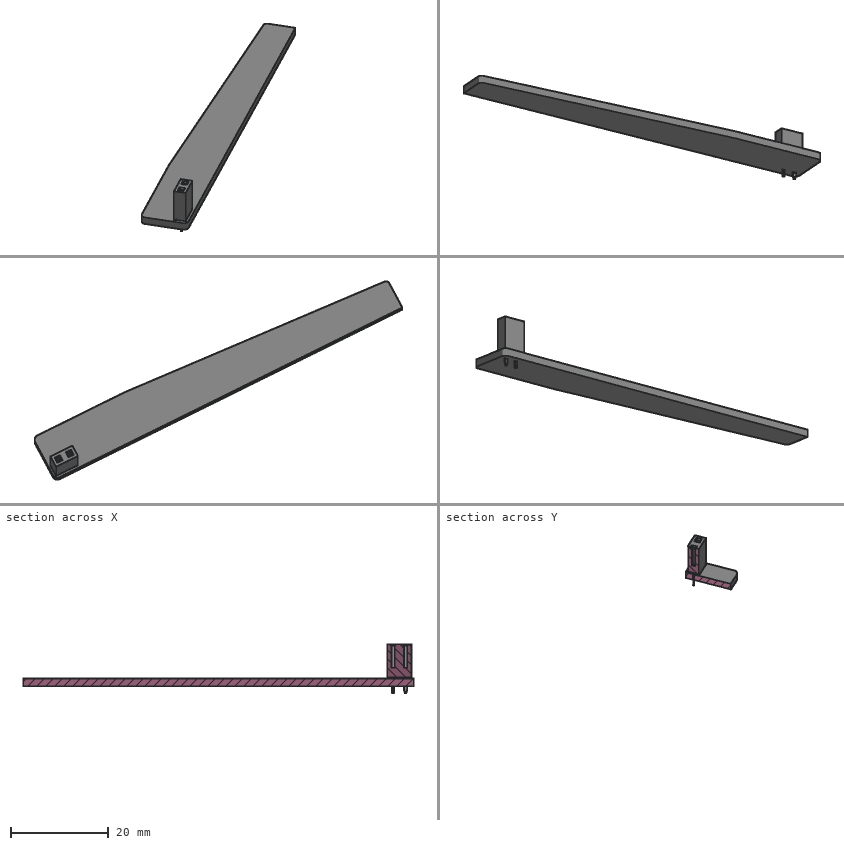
import cadquery as cq

BOARD_WIDTH = 10.0
BOARD_LENGTH = 80.0
BOARD_THICKNESS = 1.6
TAPER_START_Y = 21.1
TAPER_INSET = 3.4
NEAR_CORNER_RADIUS = 1.0
FAR_CORNER_RADIUS = 0.8

HEADER_WIDTH = 2.5
HEADER_LENGTH = 5.0
HEADER_HEIGHT = 7.0
HEADER_LEFT = 7.0
HEADER_Y = 3.0
PIN_PITCH = 2.6
FOOT_HEIGHT = 0.2
FOOT_WIDTH = 0.4

SOCKET_MOUTH = 1.2
SOCKET_SIZE = 0.6
SOCKET_LEAD_IN = 0.3
SOCKET_DEPTH = 4.8

PIN_PROJECTION = 1.4
PIN_THICKNESS = 0.2
REAR_PIN_WIDTH = 0.5
REAR_TIP_WIDTH = 0.3
REAR_TIP_LENGTH = 0.2
FRONT_PIN_WIDTH = 0.7
FRONT_TIP_WIDTH = 0.2
FRONT_TIP_LENGTH = 0.7

HEADER_TOP = BOARD_THICKNESS + HEADER_HEIGHT
HEADER_BASE = BOARD_THICKNESS + FOOT_HEIGHT
HEADER_X = HEADER_LEFT + HEADER_WIDTH / 2
FRONT_Y = HEADER_Y - PIN_PITCH / 2
REAR_Y = HEADER_Y + PIN_PITCH / 2


def make_pin(y, width, tip_width, tip_length):
    """Flat pin from the header base to below the board, tapered at its tip."""
    bottom = -PIN_PROJECTION
    outline = [
        (y - width / 2, HEADER_BASE),
        (y + width / 2, HEADER_BASE),
        (y + width / 2, bottom + tip_length),
        (y + tip_width / 2, bottom),
        (y - tip_width / 2, bottom),
        (y - width / 2, bottom + tip_length),
    ]
    return (
        cq.Workplane("YZ", origin=(HEADER_X - PIN_THICKNESS / 2, 0, 0))
        .polyline(outline).close().extrude(PIN_THICKNESS)
    )


def make_pins():
    front = make_pin(FRONT_Y, FRONT_PIN_WIDTH, FRONT_TIP_WIDTH, FRONT_TIP_LENGTH)
    rear = make_pin(REAR_Y, REAR_PIN_WIDTH, REAR_TIP_WIDTH, REAR_TIP_LENGTH)
    return [front, rear]


def make_socket(y):
    """Square blind hole with a tapered mouth, as a cutting solid."""
    mouth = (
        cq.Workplane("XY", origin=(HEADER_X, y, HEADER_TOP))
        .rect(SOCKET_MOUTH, SOCKET_MOUTH)
        .workplane(offset=-SOCKET_LEAD_IN)
        .rect(SOCKET_SIZE, SOCKET_SIZE)
        .loft()
    )
    bore = (
        cq.Workplane("XY", origin=(HEADER_X, y, HEADER_TOP))
        .rect(SOCKET_SIZE, SOCKET_SIZE).extrude(-SOCKET_DEPTH)
    )
    return mouth.union(bore)


def make_header(pins):
    """Header housing and contacts; a relief below it leaves a foot along its -X side."""
    header = (
        cq.Workplane("XY", origin=(HEADER_X, HEADER_Y, BOARD_THICKNESS))
        .rect(HEADER_WIDTH, HEADER_LENGTH).extrude(HEADER_HEIGHT)
    )
    relief = (
        cq.Workplane("XY", origin=(HEADER_X + FOOT_WIDTH, HEADER_Y, BOARD_THICKNESS))
        .rect(HEADER_WIDTH, HEADER_LENGTH).extrude(FOOT_HEIGHT)
    )
    header = header.cut(relief)
    for y in (FRONT_Y, REAR_Y):
        header = header.cut(make_socket(y))
    for pin in pins:
        header = header.union(pin)
    return header


def make_board(pins):
    """Board with one long tapered edge and a fitted slot for each pin."""
    outline = [
        (0, 0),
        (BOARD_WIDTH, 0),
        (BOARD_WIDTH, BOARD_LENGTH),
        (TAPER_INSET, BOARD_LENGTH),
        (0, TAPER_START_Y),
    ]
    board = cq.Workplane("XY").polyline(outline).close().extrude(BOARD_THICKNESS)
    board = board.edges("|Z and <Y").fillet(NEAR_CORNER_RADIUS)
    far_corner = cq.selectors.NearestToPointSelector((TAPER_INSET, BOARD_LENGTH, BOARD_THICKNESS / 2))
    board = board.edges("|Z").edges(far_corner).fillet(FAR_CORNER_RADIUS)
    for pin in pins:
        board = board.cut(pin)
    return board


contact_pins = make_pins()
board = make_board(contact_pins)
header = make_header(contact_pins)

result = cq.Compound.makeCompound([board.val(), header.val()])